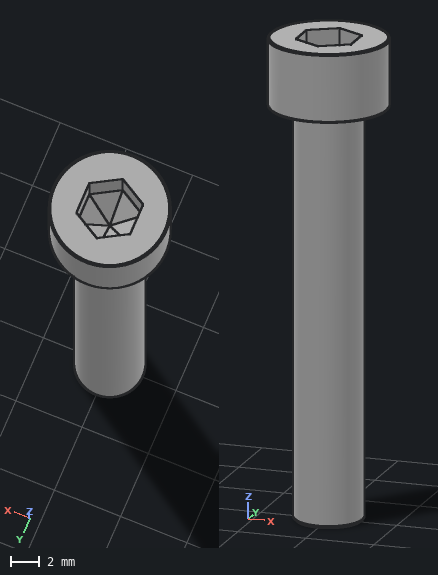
import cadquery as cq
import math

total_length = 35.0
head_height = total_length / 7
head_diameter = 8.5
shank_diameter = head_height
shank_length = total_length - head_height
head_top_chamfer = 0.1
head_bottom_chamfer = 0.1
tip_chamfer = 0.2

socket_across_flats = 4.05
socket_across_corners = socket_across_flats / math.cos(math.pi / 6)
socket_depth = head_height / 2
corner_slope_angle = 30.0
floor_depth = socket_across_corners / 2 * math.tan(math.radians(corner_slope_angle))


def make_head():
    head = cq.Workplane("XY").workplane(offset=shank_length).circle(head_diameter / 2).extrude(head_height)
    head = head.faces(">Z").chamfer(head_top_chamfer)
    return head.faces("<Z").chamfer(head_bottom_chamfer)


def make_shank():
    shank = cq.Workplane("XY").circle(shank_diameter / 2).extrude(shank_length)
    return shank.faces("<Z").chamfer(tip_chamfer)


def make_socket():
    corner_radius = socket_across_corners / 2
    floor_height = total_length - socket_depth
    corner_angles = [math.radians(30 + 60 * i) for i in range(6)]
    corners = [(corner_radius * math.cos(a), corner_radius * math.sin(a)) for a in corner_angles]
    prism = cq.Workplane("XY").workplane(offset=floor_height).polyline(corners).close().extrude(socket_depth)

    apex = cq.Vector(0, 0, floor_height - floor_depth)
    rim = [cq.Vector(x, y, floor_height) for x, y in corners]
    faces = [cq.Face.makeFromWires(cq.Wire.makePolygon(rim, close=True))]
    for i in range(6):
        triangle = [rim[i - 1], rim[i], apex]
        faces.append(cq.Face.makeFromWires(cq.Wire.makePolygon(triangle, close=True)))
    pyramid = cq.Solid.makeSolid(cq.Shell.makeShell(faces))
    return prism.union(cq.Workplane(pyramid))


result = make_head().union(make_shank()).cut(make_socket())